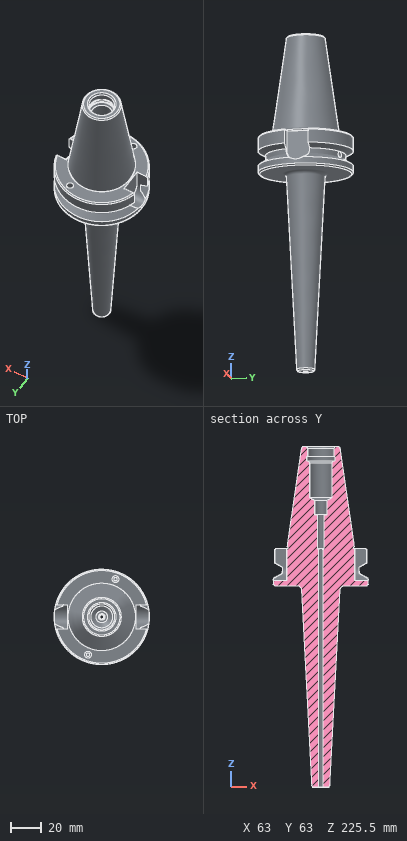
import cadquery as cq
import math

TOTAL_HEIGHT = 225.5
GAUGE_Z = 160.0
FLANGE_TOP_Z = 158.0
FLANGE_BOTTOM_Z = 133.0

TAPER_RATIO = 7 / 24
GAUGE_RADIUS = 22.3
GAUGE_LAND_HEIGHT = 1.0
TAPER_END_CHAMFER = 1.0
NECK_RADIUS = 21.6

FLANGE_RADIUS = 31.5
FLANGE_TOP_CHAMFER = 1.0
FLANGE_BOTTOM_CHAMFER = 1.1
UPPER_RIM_HEIGHT = 9.7
LOWER_RIM_HEIGHT = 5.5
GROOVE_RADIUS = 26.5
GROOVE_SLOPE = math.tan(math.radians(30))
GROOVE_FILLET = 1.0

SLOT_WIDTH = 16.0
SLOT_FLOOR_X = 22.5
SLOT_DEPTH = 21.0

COOLANT_ANGLE = 70.0
COOLANT_CIRCLE_RADIUS = 26.5
COOLANT_RADIUS = 2.3
COOLANT_DEPTH = 6.8
COOLANT_INNER_RADIUS = 1.1
COOLANT_INNER_DEPTH = 10.1
CROSS_HOLE_RADIUS = 2.0
CROSS_HOLE_DEPTH = 4.5

NOSE_HALF_ANGLE = 3.0
NOSE_TIP_RADIUS = 6.0
NOSE_TIP_CHAMFER_WIDTH = 0.7
NOSE_TIP_CHAMFER_HEIGHT = 1.1
NOSE_FILLET = 2.5

MOUTH_RADIUS = 9.5
MOUTH_CHAMFER_HEIGHT = 1.4
ENTRY_RADIUS = 8.5
ENTRY_DEPTH = 9.5
RELIEF_RADIUS = 9.2
RELIEF_TOP_DEPTH = 6.8
THREAD_RADIUS = 7.2
THREAD_DEPTH = 33.8
DRILL_POINT_SLOPE = math.tan(math.radians(30))
PASSAGE_RADIUS = 3.8
PASSAGE_DEPTH = 45.0
INNER_PASSAGE_RADIUS = 2.15
INNER_PASSAGE_DEPTH = 67.6
THROUGH_RADIUS = 1.4


def make_body():
    taper_top_z = TOTAL_HEIGHT - TAPER_END_CHAMFER
    taper_top_radius = GAUGE_RADIUS - (taper_top_z - GAUGE_Z) * TAPER_RATIO / 2
    groove_drop = (FLANGE_RADIUS - GROOVE_RADIUS) * GROOVE_SLOPE
    upper_rim_z = FLANGE_TOP_Z - UPPER_RIM_HEIGHT
    lower_rim_z = FLANGE_BOTTOM_Z + LOWER_RIM_HEIGHT
    fillet_z = FLANGE_BOTTOM_Z - NOSE_FILLET
    nose_slope = math.tan(math.radians(NOSE_HALF_ANGLE))
    nose_root_radius = NOSE_TIP_RADIUS + (fillet_z - NOSE_TIP_CHAMFER_HEIGHT) * nose_slope
    arc_offset = NOSE_FILLET * (1 - math.sqrt(0.5))
    lower_floor_z = lower_rim_z + groove_drop
    body = (
        cq.Workplane("XZ")
        .moveTo(0, 0)
        .lineTo(NOSE_TIP_RADIUS - NOSE_TIP_CHAMFER_WIDTH, 0)
        .lineTo(NOSE_TIP_RADIUS, NOSE_TIP_CHAMFER_HEIGHT)
        .lineTo(nose_root_radius, fillet_z)
        .threePointArc(
            (nose_root_radius + arc_offset, FLANGE_BOTTOM_Z - arc_offset),
            (nose_root_radius + NOSE_FILLET, FLANGE_BOTTOM_Z),
        )
        .lineTo(FLANGE_RADIUS - FLANGE_BOTTOM_CHAMFER, FLANGE_BOTTOM_Z)
        .lineTo(FLANGE_RADIUS, FLANGE_BOTTOM_Z + FLANGE_BOTTOM_CHAMFER)
        .lineTo(FLANGE_RADIUS, lower_rim_z)
        .lineTo(GROOVE_RADIUS, lower_floor_z)
        .lineTo(GROOVE_RADIUS, upper_rim_z - groove_drop)
        .lineTo(FLANGE_RADIUS, upper_rim_z)
        .lineTo(FLANGE_RADIUS, FLANGE_TOP_Z - FLANGE_TOP_CHAMFER)
        .lineTo(FLANGE_RADIUS - FLANGE_TOP_CHAMFER, FLANGE_TOP_Z)
        .lineTo(NECK_RADIUS, FLANGE_TOP_Z)
        .lineTo(GAUGE_RADIUS, GAUGE_Z - GAUGE_LAND_HEIGHT)
        .lineTo(GAUGE_RADIUS, GAUGE_Z)
        .lineTo(taper_top_radius, taper_top_z)
        .lineTo(taper_top_radius - TAPER_END_CHAMFER, TOTAL_HEIGHT)
        .lineTo(0, TOTAL_HEIGHT)
        .close()
        .revolve(360, (0, 0, 0), (0, 1, 0))
    )
    corner_region = cq.selectors.BoxSelector(
        (-FLANGE_RADIUS, -FLANGE_RADIUS, lower_floor_z - GROOVE_FILLET),
        (FLANGE_RADIUS, FLANGE_RADIUS, lower_floor_z + GROOVE_FILLET),
    )
    lower_corner = body.edges("%CIRCLE").edges(corner_region)
    return lower_corner.fillet(GROOVE_FILLET)


def make_bore():
    entry_z = TOTAL_HEIGHT - ENTRY_DEPTH
    relief_top_z = TOTAL_HEIGHT - RELIEF_TOP_DEPTH
    thread_z = TOTAL_HEIGHT - THREAD_DEPTH
    passage_z = TOTAL_HEIGHT - PASSAGE_DEPTH
    inner_z = TOTAL_HEIGHT - INNER_PASSAGE_DEPTH
    return (
        cq.Workplane("XZ")
        .moveTo(0, TOTAL_HEIGHT)
        .lineTo(MOUTH_RADIUS, TOTAL_HEIGHT)
        .lineTo(ENTRY_RADIUS, TOTAL_HEIGHT - MOUTH_CHAMFER_HEIGHT)
        .lineTo(ENTRY_RADIUS, relief_top_z)
        .lineTo(RELIEF_RADIUS, relief_top_z)
        .lineTo(RELIEF_RADIUS, entry_z)
        .lineTo(ENTRY_RADIUS, entry_z)
        .lineTo(THREAD_RADIUS, entry_z - (ENTRY_RADIUS - THREAD_RADIUS))
        .lineTo(THREAD_RADIUS, thread_z)
        .lineTo(PASSAGE_RADIUS, thread_z - (THREAD_RADIUS - PASSAGE_RADIUS) * DRILL_POINT_SLOPE)
        .lineTo(PASSAGE_RADIUS, passage_z)
        .lineTo(INNER_PASSAGE_RADIUS, passage_z)
        .lineTo(INNER_PASSAGE_RADIUS, inner_z)
        .lineTo(THROUGH_RADIUS, inner_z)
        .lineTo(THROUGH_RADIUS, 0)
        .lineTo(0, 0)
        .close()
        .revolve(360, (0, 0, 0), (0, 1, 0))
    )


def make_drive_slot(side):
    radius = SLOT_WIDTH / 2
    slot_bottom = FLANGE_TOP_Z - SLOT_DEPTH
    return (
        cq.Workplane("YZ", origin=(side * SLOT_FLOOR_X, 0, 0))
        .moveTo(-radius, GAUGE_Z)
        .lineTo(-radius, slot_bottom + radius)
        .threePointArc((0, slot_bottom), (radius, slot_bottom + radius))
        .lineTo(radius, GAUGE_Z)
        .close()
        .extrude(side * FLANGE_RADIUS)
    )


def make_coolant_port(angle):
    groove_middle_z = (FLANGE_TOP_Z - UPPER_RIM_HEIGHT + FLANGE_BOTTOM_Z + LOWER_RIM_HEIGHT) / 2
    top_face = cq.Workplane("XY", origin=(COOLANT_CIRCLE_RADIUS, 0, FLANGE_TOP_Z))
    hole = top_face.circle(COOLANT_RADIUS).extrude(-COOLANT_DEPTH)
    inner_hole = top_face.circle(COOLANT_INNER_RADIUS).extrude(-COOLANT_INNER_DEPTH)
    cross_hole = (
        cq.Workplane("YZ", origin=(GROOVE_RADIUS - CROSS_HOLE_DEPTH, 0, groove_middle_z))
        .circle(CROSS_HOLE_RADIUS)
        .extrude(FLANGE_RADIUS)
    )
    port = hole.union(inner_hole).union(cross_hole)
    return port.rotate((0, 0, 0), (0, 0, 1), angle)


result = make_body().cut(make_bore())
for side in (-1, 1):
    result = result.cut(make_drive_slot(side))
for turn in (0, 180):
    result = result.cut(make_coolant_port(COOLANT_ANGLE + turn))